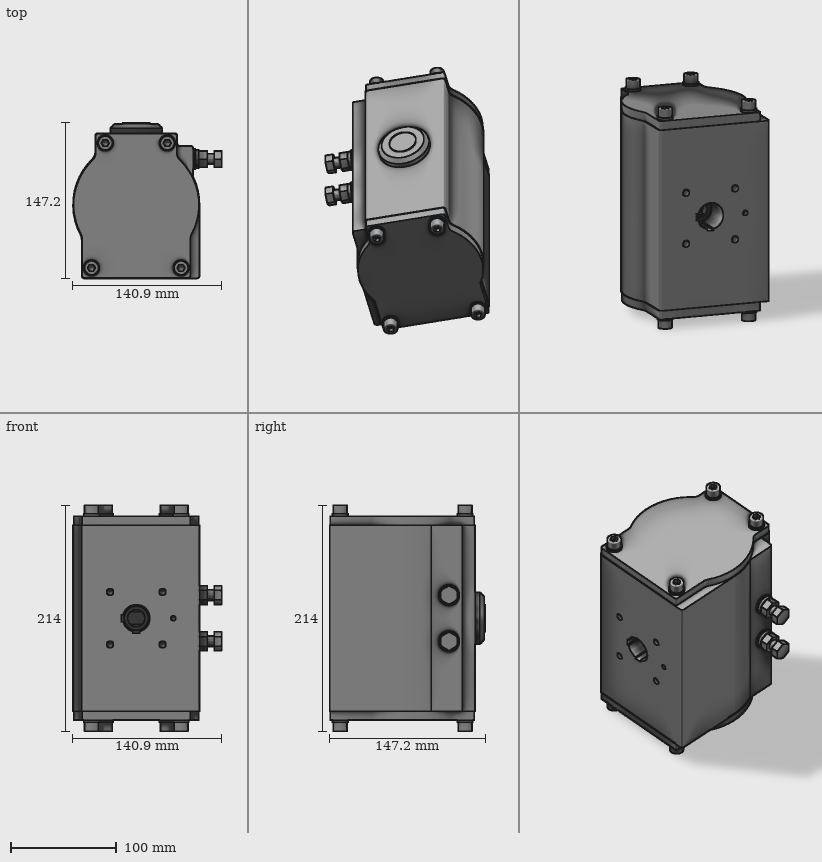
import cadquery as cq
import math

overall_height = 214.0

barrel_radius = 60.0
front_y = -69.7
back_y = 67.8
foot_half_width = 51.8
neck_half_width = 39.0
neck_blend_radius = 8.8
corner_radius = 2.8
cap_inset = 0.6
foot_join_y = -math.sqrt(barrel_radius**2 - foot_half_width**2)
neck_join_y = math.sqrt(barrel_radius**2 - neck_half_width**2)

pad_face_x = 53.7
pad_top_y = 55.6
pad_corner_radius = 2.1

screw_head_height = 8.3
screw_head_radius = 6.6
screw_edge = 0.6
washer_thickness = 2.1
washer_radius = 7.5
socket_width = 6.2
socket_depth = 4.3
foot_screw_x = 42.4
foot_screw_y = -59.7
neck_screw_x = 29.3
neck_screw_y = 58.5

cap_half_height = overall_height / 2 - screw_head_height - washer_thickness
cap_thickness = 8.5
body_half_height = cap_half_height - cap_thickness

mount_hole_radius = 3.2
mount_hole_depth = 12.8
mount_hole_offset = 24.8
pin_hole_radius = 2.4
pin_hole_depth = 8.5
pin_hole_x = 35.0
drill_point_angle = 118.0

bore_radius = 12.8
bore_depth = 30.0
keyway_width = 6.6
keyway_reach = 14.1
shaft_radius = 11.3
shaft_tip_radius = 12.8
shaft_back_y = 77.5
drive_radius = 8.1
pilot_depth = 2.1
drive_flat_width = 11.8
drive_depth = 8.5
bore_floor_y = front_y + bore_depth

hub_radius = 24.5
hub_face_radius = 20.5
hub_face_y = 76.5
hub_rim_y = hub_face_y - (hub_radius - hub_face_radius)

fitting_y = 43.2
fitting_z = 21.8
flange_radius = 9.8
flange_end_x = 55.8
flange_edge = 0.6
collar_radius = 8.8
collar_end_x = 59.3
fitting_hex_width = 15.6
hex_end_x = 67.2
tube_radius = 5.1
nut_start_x = 73.5
nut_end_x = 80.9
nut_edge = 0.6


def block(x_min, x_max, y_min, y_max, half_height):
    """Box between the given X and Y limits, centred on Z = 0."""
    centred_box = cq.Workplane("XY").box(x_max - x_min, y_max - y_min, 2 * half_height)
    return centred_box.translate(((x_min + x_max) / 2, (y_min + y_max) / 2, 0))


def hex_prism(width, height):
    """Hexagonal prism on Z = 0 rising along +Z, corners on the X axis."""
    return cq.Workplane("XY").polygon(6, width / math.cos(math.pi / 6)).extrude(height)


def drill(radius, depth):
    """Drill shape on Z = 0 going down: a cylinder of the given depth with a conical tip."""
    tip = radius / math.tan(math.radians(drill_point_angle / 2))
    outline = [(0, 0), (radius, 0), (radius, -depth), (0, -depth - tip)]
    return cq.Workplane("XZ").polyline(outline).close().revolve(360, (0, 0), (0, 1))


def barrel_prism(inset, half_height):
    """Barrel with a foot in front and a neck behind, blended and drawn in by the inset."""
    foot = foot_half_width - inset
    neck = neck_half_width - inset
    barrel = cq.Workplane("XY").circle(barrel_radius - inset).extrude(half_height, both=True)
    shape = barrel.union(block(-foot, foot, front_y + inset, 0, half_height))
    shape = shape.union(block(-neck, neck, 0, back_y - inset, half_height))
    joins = [(foot, foot_join_y), (neck, neck_join_y)]
    for x, y in joins:
        for side in (-1, 1):
            join = cq.selectors.NearestToPointSelector((side * x, y, 0))
            shape = shape.edges("|Z").edges(join).fillet(neck_blend_radius)
    for x, y in [(foot, front_y + inset), (neck, back_y - inset)]:
        for side in (-1, 1):
            corner = cq.selectors.NearestToPointSelector((side * x, y, 0))
            shape = shape.edges("|Z").edges(corner).fillet(corner_radius - inset)
    return shape


def make_body():
    """Barrel prism with the square +X front corner and the port pad."""
    square_corner = block(0, barrel_radius, front_y, 0, body_half_height)
    square_corner = square_corner.edges("|Z and >X and <Y").fillet(corner_radius)
    pad = block(0, pad_face_x, 0, pad_top_y, body_half_height)
    pad = pad.edges("|Z and >X and >Y").fillet(pad_corner_radius)
    body = barrel_prism(0, body_half_height).union(square_corner).union(pad)
    pad_root = cq.selectors.NearestToPointSelector((neck_half_width, pad_top_y, 0))
    return body.edges("|Z").edges(pad_root).fillet(pad_corner_radius)


def make_cap_screw():
    """Screw head and washer standing on Z = 0, with a drilled hexagon socket."""
    top = washer_thickness + screw_head_height
    washer = cq.Workplane("XY").circle(washer_radius).extrude(washer_thickness)
    head = cq.Workplane("XY").circle(screw_head_radius).extrude(top)
    head = head.faces(">Z").edges().fillet(screw_edge)
    socket_corner_radius = socket_width / 2 / math.cos(math.pi / 6)
    socket = hex_prism(socket_width, top).intersect(
        drill(socket_corner_radius, socket_depth).translate((0, 0, top))
    )
    return washer.union(head).cut(socket)


def make_fitting():
    """Air fitting along +X, in its final X position, with flange, collar, hexagon, tube and nut."""
    flange = cq.Workplane("YZ", origin=(pad_face_x, 0, 0)).circle(flange_radius)
    flange = flange.extrude(flange_end_x - pad_face_x).faces("<X").chamfer(flange_edge)
    collar = cq.Workplane("YZ", origin=(pad_face_x, 0, 0)).circle(collar_radius)
    collar = collar.extrude(collar_end_x - pad_face_x)
    tube = cq.Workplane("YZ", origin=(pad_face_x, 0, 0)).circle(tube_radius)
    tube = tube.extrude(nut_end_x - pad_face_x)
    hexagon = hex_prism(fitting_hex_width, hex_end_x - collar_end_x)
    hexagon = hexagon.rotate((0, 0, 0), (0, 1, 0), 90).translate((collar_end_x, 0, 0))
    nut_length = nut_end_x - nut_start_x
    nut_corner_radius = fitting_hex_width / 2 / math.cos(math.pi / 6)
    bevelled_disc = cq.Workplane("XY").circle(nut_corner_radius).extrude(nut_length)
    bevelled_disc = bevelled_disc.faces(">Z").chamfer(nut_edge)
    nut = hex_prism(fitting_hex_width, nut_length).intersect(bevelled_disc)
    nut = nut.rotate((0, 0, 0), (0, 1, 0), 90).translate((nut_start_x, 0, 0))
    return flange.union(collar).union(tube).union(hexagon).union(nut)


def front_drill(radius, depth, x, z):
    """Drill shape entering the front face along +Y at the given X and Z."""
    return drill(radius, depth).rotate((0, 0, 0), (1, 0, 0), 90).translate((x, front_y, z))


def along_y(radius, y_start, y_end):
    """Cylinder on the shaft axis between two Y positions."""
    start = cq.Workplane("XZ", origin=(0, y_start, 0))
    return start.circle(radius).extrude(y_start - y_end)


def make_housing():
    """Body, end caps, cap screws and air fittings, with the drive bore and mounting holes."""
    housing = make_body().union(barrel_prism(cap_inset, cap_half_height))

    screw = make_cap_screw().translate((0, 0, cap_half_height))
    screw_places = [(foot_screw_x, foot_screw_y), (neck_screw_x, neck_screw_y)]
    for x, y in screw_places:
        for side in (-1, 1):
            top_screw = screw.translate((side * x, y, 0))
            housing = housing.union(top_screw).union(top_screw.mirror("XY"))

    for side in (-1, 1):
        housing = housing.union(make_fitting().translate((0, fitting_y, side * fitting_z)))
        for end in (-1, 1):
            place = (side * mount_hole_offset, end * mount_hole_offset)
            housing = housing.cut(front_drill(mount_hole_radius, mount_hole_depth, *place))
    housing = housing.cut(front_drill(pin_hole_radius, pin_hole_depth, pin_hole_x, 0))

    housing = housing.cut(along_y(bore_radius, front_y, bore_floor_y))
    housing = housing.cut(along_y(shaft_radius, bore_floor_y, back_y))
    keyway = cq.Workplane("XY").box(keyway_reach, bore_depth, keyway_width)
    keyway = keyway.translate((-keyway_reach / 2, front_y + bore_depth / 2, 0))
    for turn in (0, -90):
        housing = housing.cut(keyway.rotate((0, 0, 0), (0, 1, 0), turn))
    return housing


def make_shaft():
    """Drive shaft in the housing bore, with a stepped double-flat socket and a hub behind."""
    shaft = along_y(shaft_radius, bore_floor_y, back_y)
    hub_outline = [
        (0, back_y),
        (hub_radius, back_y),
        (hub_radius, hub_rim_y),
        (hub_face_radius, hub_face_y),
        (0, hub_face_y),
    ]
    hub = cq.Workplane("XY").polyline(hub_outline).close().revolve(360, (0, 0), (0, 1))
    tip = along_y(shaft_tip_radius, back_y, shaft_back_y)
    shaft = shaft.union(hub).union(tip)

    drive_y = bore_floor_y + pilot_depth
    drive_end_y = drive_y + drive_depth
    flats = cq.Workplane("XY").box(2 * drive_radius, 2 * (drive_end_y - bore_floor_y), drive_flat_width)
    flats = flats.translate((0, bore_floor_y, 0))
    shaft = shaft.cut(along_y(drive_radius, bore_floor_y, drive_y))
    return shaft.cut(along_y(drive_radius, drive_y, drive_end_y).intersect(flats))


housing = make_housing()
shaft = make_shaft()
result = cq.Compound.makeCompound([housing.val(), shaft.val()])